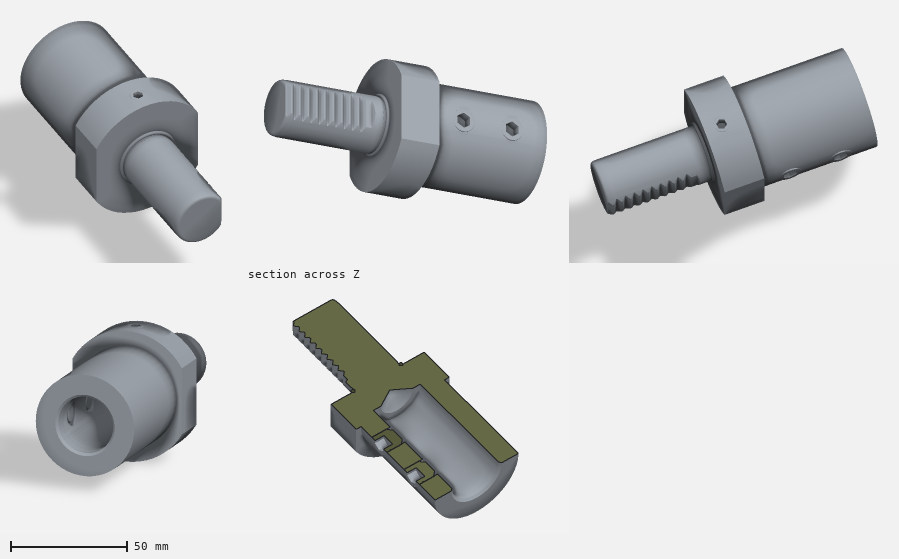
import cadquery as cq
import math


total_length = 119.0
sleeve_length = 52.8
sleeve_radius = 45.0 / 2
flange_face_x = 71.0
flange_radius = 58.0 / 2
flange_flat_width = 50.0
shank_radius = 25.0 / 2
neck_radius = 12.4
neck_length = 2.1

run_in_length = 2.5
run_in_drop = 0.2
corner_length = 1.1
corner_drop = 1.3

bore_radius = 25.0 / 2
bore_depth = 57.1
mouth_chamfer = 1.1
drill_point_radius = 17.1 / 2
drill_point_angle = 118.0

serration_span = 35.9
serration_count = 10
serration_pitch = serration_span / (serration_count - 1)
first_valley_x = 82.7
crest_y = 10.8
valley_y = 9.4
valley_floor = 0.5
flat_start_x = 78.3
flat_slope_run = 1.0

ring_section_radius = 0.8
ring_radius = 13.0
ring_offset = 0.5

rim_angle = 30.0
plug_radius = 8.1 / 2
plug_face_radius = 6.7 / 2
plug_length = 9.5
plug_point_radius = 3.1
plug_point_length = 1.0
plug_socket_width = 4.0
plug_socket_depth = 4.8
plug_socket_turn = 7.0
plug_x = 63.1
clamp_radius = 10.5 / 2
clamp_face_radius = 10.0 / 2
clamp_length = 10.0
clamp_point_length = 1.9
clamp_point_radius = 3.3
clamp_socket_width = 6.0
clamp_socket_depth = 4.8
clamp_positions = (16.8, 39.9)


def make_screw_blank(radius, face_radius, length, point_radius, point_length):
    """Screw without its socket, outer face at Z = 0 and pointing down."""
    rim_depth = (radius - face_radius) * math.tan(math.radians(rim_angle))
    return (
        cq.Workplane("XZ")
        .moveTo(0, 0)
        .lineTo(face_radius, 0)
        .lineTo(radius, -rim_depth)
        .lineTo(radius, point_length - length)
        .lineTo(point_radius, -length)
        .lineTo(0, -length)
        .close()
        .revolve(360, (0, 0, 0), (0, 1, 0))
    )


def cut_socket(blank, width, depth, turn=0):
    """Cut a hexagonal key socket into the outer face of a screw."""
    corner_diameter = width / math.cos(math.pi / 6)
    socket = (
        cq.Workplane("XY")
        .transformed(rotate=(0, 0, 90 + turn))
        .polygon(6, corner_diameter)
        .extrude(-depth)
    )
    return blank.cut(socket)


def place_in_flange(body):
    """Set a screw flush with the top of the flange."""
    return body.translate((plug_x, 0, flange_radius))


def place_in_sleeve(body, x):
    """Turn a screw to face +Y and set it flush with the sleeve."""
    return body.rotate((0, 0, 0), (1, 0, 0), -90).translate((x, sleeve_radius, 0))


def make_ring():
    return cq.Workplane(
        cq.Solid.makeTorus(
            ring_radius,
            ring_section_radius,
            cq.Vector(flange_face_x + ring_offset, 0, 0),
            cq.Vector(1, 0, 0),
        )
    )


def make_sleeve_and_flange():
    sleeve = cq.Workplane("YZ").circle(sleeve_radius).extrude(flange_face_x)
    flange = (
        cq.Workplane("YZ", origin=(sleeve_length, 0, 0))
        .circle(flange_radius)
        .extrude(flange_face_x - sleeve_length)
    )
    flats = cq.Workplane("XY").box(2 * total_length, flange_flat_width, 2 * flange_radius)
    return sleeve.union(flange.intersect(flats))


def make_shank():
    root_x = sleeve_length
    neck_end_x = flange_face_x + neck_length
    corner_x = total_length - corner_length
    shank = (
        cq.Workplane("XY")
        .moveTo(root_x, 0)
        .lineTo(root_x, neck_radius)
        .lineTo(neck_end_x, neck_radius)
        .lineTo(neck_end_x + shank_radius - neck_radius, shank_radius)
        .lineTo(corner_x - run_in_length, shank_radius)
        .tangentArcPoint((corner_x, shank_radius - run_in_drop), relative=False)
        .tangentArcPoint((total_length, shank_radius - run_in_drop - corner_drop), relative=False)
        .lineTo(total_length, 0)
        .close()
        .revolve(360, (0, 0, 0), (1, 0, 0))
    )
    return shank.cut(make_serration_cutter())


def make_serration_cutter():
    """Everything removed on the +Y side of the shank, through its full height."""
    outer_y = shank_radius
    valley_half = valley_floor / 2
    crest_half = valley_half + crest_y - valley_y
    points = [(flat_start_x - flat_slope_run, outer_y), (flat_start_x, crest_y)]
    for index in range(serration_count):
        x = first_valley_x + index * serration_pitch
        points += [
            (x - crest_half, crest_y),
            (x - valley_half, valley_y),
            (x + valley_half, valley_y),
            (x + crest_half, crest_y),
        ]
    points.append((points[-1][0], outer_y))
    return cq.Workplane("XY").polyline(points).close().extrude(shank_radius, both=True)


def make_bore():
    point_length = drill_point_radius / math.tan(math.radians(drill_point_angle / 2))
    return (
        cq.Workplane("XY")
        .moveTo(0, 0)
        .lineTo(0, bore_radius + mouth_chamfer)
        .lineTo(mouth_chamfer, bore_radius)
        .lineTo(bore_depth, bore_radius)
        .lineTo(bore_depth, drill_point_radius)
        .lineTo(bore_depth + point_length, 0)
        .close()
        .revolve(360, (0, 0, 0), (1, 0, 0))
    )


plug_blank = make_screw_blank(
    plug_radius, plug_face_radius, plug_length, plug_point_radius, plug_point_length
)
plug_screw = cut_socket(plug_blank, plug_socket_width, plug_socket_depth, plug_socket_turn)
plug = place_in_flange(plug_screw)

clamp_blank = make_screw_blank(
    clamp_radius, clamp_face_radius, clamp_length, clamp_point_radius, clamp_point_length
)
clamp_screw = cut_socket(clamp_blank, clamp_socket_width, clamp_socket_depth)
clamp_screws = [place_in_sleeve(clamp_screw, x) for x in clamp_positions]

seal_ring = make_ring()

housing = make_sleeve_and_flange().union(make_shank()).cut(make_bore())
housing = housing.cut(place_in_flange(plug_blank)).cut(seal_ring)
clamp_cylinder_end = clamp_point_length - clamp_length
clamp_hole_end = bore_radius / 2 - sleeve_radius
clamp_opening = (
    cq.Workplane("XY", origin=(0, 0, clamp_cylinder_end))
    .circle(clamp_radius)
    .extrude(clamp_hole_end - clamp_cylinder_end)
)
for x in clamp_positions:
    housing = housing.cut(place_in_sleeve(clamp_blank, x))
    housing = housing.cut(place_in_sleeve(clamp_opening, x))

result = cq.Compound.makeCompound(
    [housing.val(), plug.val(), seal_ring.val(), *[screw.val() for screw in clamp_screws]]
)